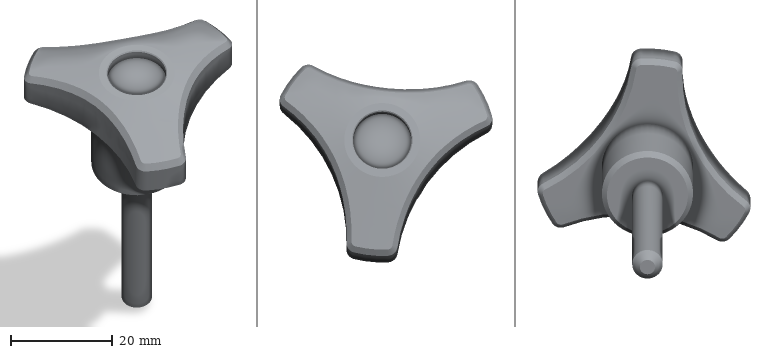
import cadquery as cq
import math

head_height = 11.0
crown_drop = 3.4
hub_length = 16.0
total_length = 67.0
stud_length = total_length - head_height - hub_length

arm_count = 3
tip_radius = 22.5
waist_radius = 11.0
scallop_radius = 33.5
corner_radius = 2.0
edge_chamfer = 1.0

flat_radius = 7.5
recess_diameter = 11.6
recess_rim_chamfer = 0.2
recess_depth = 2.0

hub_diameter = 18.0
stud_diameter = 6.0
stud_tip_diameter = 3.0
stud_tip_length = 1.6


def polar(radius, degrees):
    angle = math.radians(degrees)
    return (radius * math.cos(angle), radius * math.sin(angle))


def make_outline_prism():
    """Three arms with rounded ends, separated by concave circular scallops."""
    prism = cq.Workplane("XY").circle(tip_radius).extrude(head_height)
    for i in range(arm_count):
        x, y = polar(waist_radius + scallop_radius, -90 + i * 360 / arm_count)
        scallop = cq.Workplane("XY").center(x, y).circle(scallop_radius).extrude(head_height)
        prism = prism.cut(scallop)
    return prism.edges("|Z").fillet(corner_radius)


def make_crown_envelope():
    """Flat-topped shallow cone that limits the height of the arms."""
    return (
        cq.Workplane("XZ")
        .polyline([
            (0, 0),
            (tip_radius, 0),
            (tip_radius, head_height - crown_drop),
            (flat_radius, head_height),
            (0, head_height),
        ])
        .close()
        .revolve(360, (0, 0, 0), (0, 1, 0))
    )


def make_head():
    head = make_outline_prism().intersect(make_crown_envelope())
    underside_edges = head.faces("<Z").edges()
    crown_edges = head.faces("%CONE").edges("not(%LINE or >Z)")
    return underside_edges.add(crown_edges).chamfer(edge_chamfer)


def cut_recess(head):
    """Straight-walled pocket with a small chamfer around its rim."""
    pocket = (
        cq.Workplane("XY", origin=(0, 0, head_height))
        .circle(recess_diameter / 2)
        .extrude(-recess_depth)
    )
    rim = cq.selectors.RadiusNthSelector(0)
    return head.cut(pocket).faces(">Z").edges(rim).chamfer(recess_rim_chamfer)


def make_hub():
    return (
        cq.Workplane("XY")
        .circle(hub_diameter / 2)
        .extrude(-hub_length)
        .faces("<Z")
        .chamfer(edge_chamfer)
    )


def make_stud():
    return (
        cq.Workplane("XY", origin=(0, 0, -hub_length))
        .circle(stud_diameter / 2)
        .extrude(-stud_length)
        .faces("<Z")
        .chamfer(stud_tip_length, (stud_diameter - stud_tip_diameter) / 2)
    )


result = cut_recess(make_head()).union(make_hub()).union(make_stud())